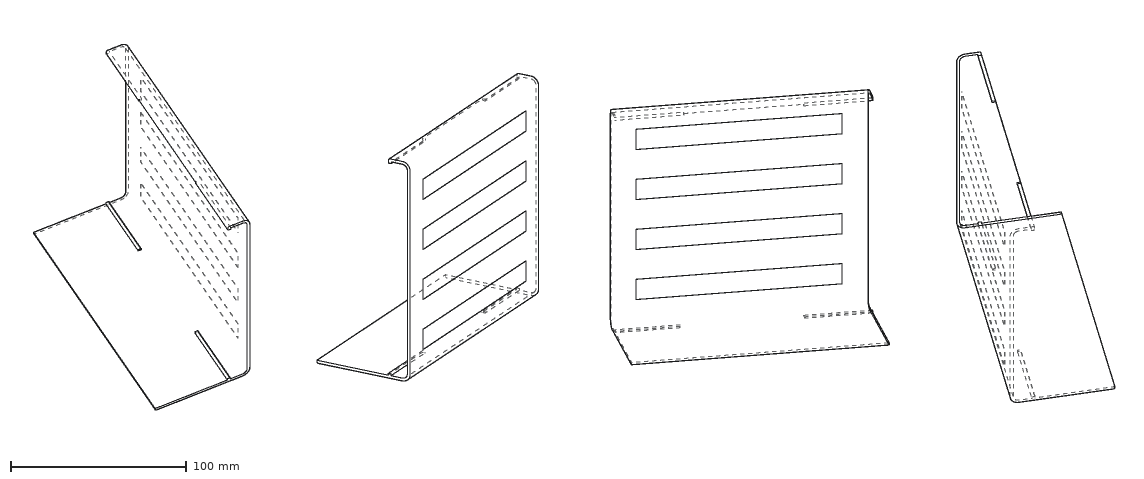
import cadquery as cq

length = 150.0
height = 135.0
base_depth = 61.0
lip_depth = 14.2
thickness = 1.8
bend_radius = 5.1
edge_round = 1.0

rib_length = 40.0
rib_width = 2.0
rib_height = 1.0
rib_round = 0.3
base_rib_front = 14.5

strip_count = 4
strip_pitch = 30.8
strip_length = 120.0
strip_width = 12.5
strip_height = 0.2

base_edge = -base_depth
lip_edge = -lip_depth


def edges_along_x(y, low_z, high_z):
    """Selector for the edges at depth y, from low_z to high_z."""
    margin = 0.2
    return cq.selectors.BoxSelector(
        (-margin, y - margin, low_z - margin),
        (length + margin, y + margin, high_z + margin),
    )


def bent_sheet():
    """Wall with a base and a top lip, extruded along the length."""
    outline = (
        cq.Workplane("YZ")
        .moveTo(base_edge, 0)
        .lineTo(0, 0)
        .lineTo(0, height)
        .lineTo(lip_edge, height)
        .lineTo(lip_edge, height - thickness)
        .lineTo(-thickness, height - thickness)
        .lineTo(-thickness, thickness)
        .lineTo(base_edge, thickness)
        .close()
    )
    sheet = outline.extrude(length)
    outer_bends = edges_along_x(0, 0, height)
    inner_bends = edges_along_x(-thickness, thickness, height - thickness)
    sheet = sheet.edges("|X").edges(outer_bends).fillet(bend_radius)
    sheet = sheet.edges("|X").edges(inner_bends).fillet(bend_radius - thickness)
    sheet = sheet.faces(">Z").edges("<Y").fillet(edge_round)
    return sheet.faces("<Z").edges("<Y").fillet(edge_round)


def rib(start_x, front_y, start_z, exposed_side):
    """Short rib along X with the long edges of its exposed side rounded."""
    bar = cq.Workplane("XY").box(rib_length, rib_width, rib_height, centered=False)
    bar = bar.faces(exposed_side).edges("|X").fillet(rib_round)
    return bar.translate((start_x, front_y, start_z))


def back_strips():
    """Low strips along X, evenly spaced about mid-height on the back of the wall."""
    return (
        cq.Workplane("XZ", origin=(length / 2, 0, height / 2))
        .rarray(1.5, strip_pitch, 1, strip_count)
        .rect(strip_length, strip_width)
        .extrude(-strip_height)
    )


result = bent_sheet()
for start_x in (0, length - rib_length):
    base_rib = rib(start_x, -base_rib_front, thickness, ">Z")
    lip_rib = rib(start_x, lip_edge, height - thickness - rib_height, "<Z")
    result = result.union(base_rib).union(lip_rib)
result = result.union(back_strips())